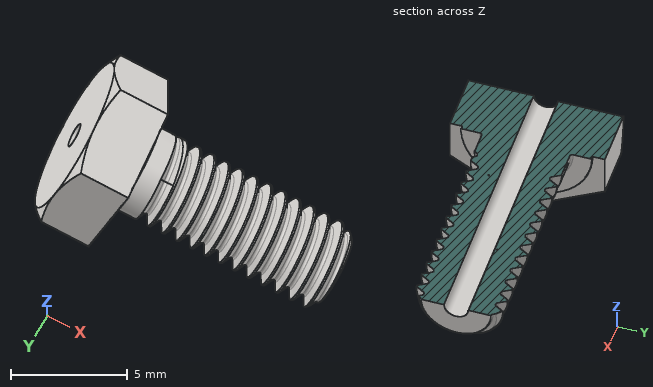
import math

import cadquery as cq


across_flats = 7.0
corner_radius = across_flats / math.sqrt(3)
head_height = 2.8
head_chamfer_angle = 30.0
washer_diameter = 5.9
washer_thickness = 0.15

shank_length = 10.0
shank_radius = 2.0
neck_fillet = 0.1

hole_diameter = 1.08

pitch = 0.7
triangle_height = pitch * math.sqrt(3) / 2
thread_depth = triangle_height * 17 / 24
root_radius = shank_radius - thread_depth
flank_half_angle = math.radians(30)
groove_mouth = pitch * 7 / 8
root_fillet = triangle_height / 6
groove_start = 1.145
groove_start_angle = 40.0
lead_in_angle = 120.0
cutter_overlap = 0.05


def make_head():
    """Hexagonal head with corners on +-Z, a turned outer chamfer and a washer face."""
    hexagon = (
        cq.Workplane("YZ")
        .workplane(offset=-head_height)
        .polygon(6, 2 * corner_radius)
        .extrude(head_height - washer_thickness)
        .rotate((0, 0, 0), (1, 0, 0), 90)
    )
    corner_drop = (corner_radius - across_flats / 2) * math.tan(math.radians(head_chamfer_angle))
    turned_blank = (
        cq.Workplane("XY")
        .moveTo(-head_height, 0)
        .lineTo(-head_height, across_flats / 2)
        .lineTo(-head_height + corner_drop, corner_radius)
        .lineTo(0, corner_radius)
        .lineTo(0, 0)
        .close()
        .revolve(360, (0, 0, 0), (1, 0, 0))
    )
    washer = (
        cq.Workplane("YZ")
        .workplane(offset=-washer_thickness)
        .circle(washer_diameter / 2)
        .extrude(washer_thickness)
    )
    return hexagon.intersect(turned_blank).union(washer)


def make_shank():
    """Plain shank with a fillet under the head and a tip chamfered down to the thread root."""
    return (
        cq.Workplane("XY")
        .moveTo(-washer_thickness, 0)
        .lineTo(-washer_thickness, shank_radius + neck_fillet)
        .lineTo(0, shank_radius + neck_fillet)
        .radiusArc((neck_fillet, shank_radius), -neck_fillet)
        .lineTo(shank_length - thread_depth, shank_radius)
        .lineTo(shank_length, root_radius)
        .lineTo(shank_length, 0)
        .close()
        .revolve(360, (0, 0, 0), (1, 0, 0))
    )


def sweep_groove(turns, root_start, root_rise=0.0):
    """Sweep the groove section along a helix about +Z that starts at angle zero and z = 0.

    root_start is the radius of the groove bottom at the start; root_rise is how much that
    radius grows over the whole sweep.
    """
    height = turns * pitch
    if root_rise == 0:
        helix = cq.Wire.makeHelix(pitch, height, root_start)
    else:
        cone_angle = math.atan(root_rise / height)
        slant = 1 / math.cos(cone_angle)
        helix = cq.Wire.makeHelix(
            pitch * slant, height * slant, root_start, angle=math.degrees(cone_angle)
        )

    half_mouth = groove_mouth / 2
    outer_radius = root_start + thread_depth + cutter_overlap
    half_outer = half_mouth + cutter_overlap * math.tan(flank_half_angle)
    arc_half = root_fillet * math.cos(flank_half_angle)
    arc_rise = root_fillet * (1 - math.sin(flank_half_angle))
    section = (
        cq.Workplane("XZ")
        .moveTo(outer_radius, -half_outer)
        .lineTo(root_start + arc_rise, -arc_half)
        .threePointArc((root_start, 0), (root_start + arc_rise, arc_half))
        .lineTo(outer_radius, half_outer)
        .close()
    )
    return section.sweep(cq.Workplane(obj=helix), isFrenet=True)


def place_groove(groove, travel):
    """Turn a groove cutter onto the bolt axis, with its start `travel` degrees along the thread."""
    return (
        groove.rotate((0, 0, 0), (0, 1, 0), 90)
        .rotate((0, 0, 0), (1, 0, 0), 180 + groove_start_angle + travel)
        .translate((groove_start + pitch * travel / 360, 0, 0))
    )


def cut_thread(bolt):
    """Cut the fading lead-in, then the full-depth groove that runs out past the tip."""
    lead_turns = lead_in_angle / 360
    full_turns = (shank_length + pitch - groove_start) / pitch - lead_turns
    full = place_groove(sweep_groove(full_turns, root_radius), lead_in_angle)
    lead_in = place_groove(sweep_groove(lead_turns, shank_radius, -thread_depth), 0)
    return bolt.cut(full).cut(lead_in)


def cut_hole(bolt):
    """Drill the axial hole through the whole bolt."""
    hole = (
        cq.Workplane("YZ")
        .workplane(offset=-head_height)
        .circle(hole_diameter / 2)
        .extrude(head_height + shank_length)
    )
    return bolt.cut(hole)


bolt_blank = make_head().union(make_shank())
result = cut_hole(cut_thread(bolt_blank))